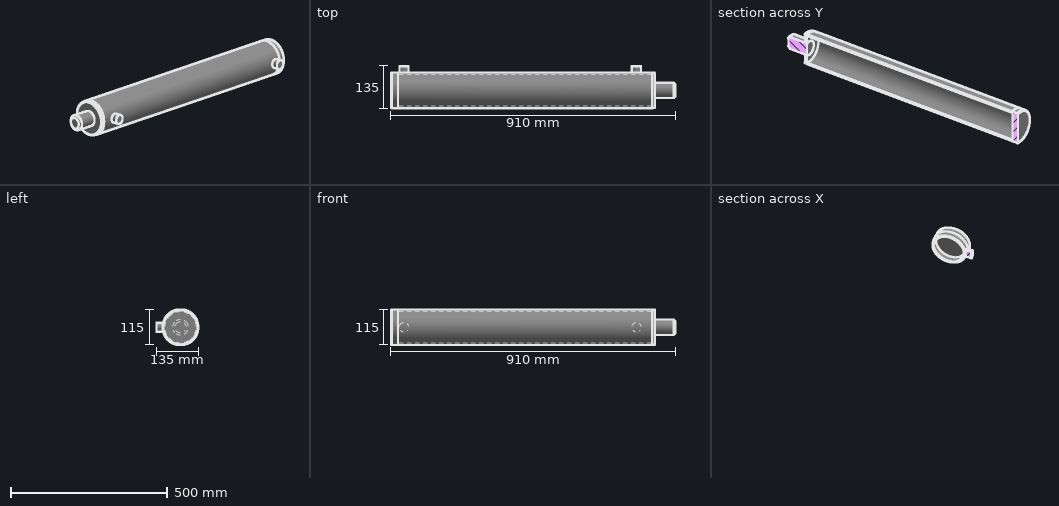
import cadquery as cq

total_length = 910.0
barrel_diameter = 115.0
wall_thickness = 7.0

cap_length = 23.0
cap_chamfer = 3.0

gland_end = 844.5
gland_length = 11.0
gland_diameter = 113.0
gland_chamfer = 3.0

rod_diameter = 50.0
rod_chamfer = 7.0

port_diameter = 30.0
port_height = 20.0
port_positions = (42.0, 784.0)

barrel_radius = barrel_diameter / 2
bore_diameter = barrel_diameter - 2 * wall_thickness
barrel_end = gland_end - gland_length


def cylinder_along_x(start, end, diameter):
    """Solid cylinder on the X axis between two stations."""
    return cq.Workplane("YZ", origin=(start, 0, 0)).circle(diameter / 2).extrude(end - start)


def make_cap():
    """Disc closing the barrel, with its outer rim chamfered."""
    cap = cylinder_along_x(0, cap_length, barrel_diameter)
    return cap.faces("<X").chamfer(cap_chamfer)


def make_barrel():
    """Plain tube between the cap and the gland."""
    tube = cylinder_along_x(cap_length, barrel_end, barrel_diameter)
    bore = cylinder_along_x(cap_length, barrel_end, bore_diameter)
    return tube.cut(bore)


def make_gland():
    """Ring on the end of the barrel, with a hole for the rod."""
    disc = cylinder_along_x(barrel_end, gland_end, gland_diameter)
    rod_hole = cylinder_along_x(barrel_end, gland_end, rod_diameter)
    return disc.faces(">X").chamfer(gland_chamfer).cut(rod_hole)


def make_rod():
    """Rod from the inner face of the gland to its chamfered free end."""
    rod = cylinder_along_x(barrel_end, total_length, rod_diameter)
    return rod.faces(">X").chamfer(rod_chamfer)


def make_port(station):
    """Round stub with a flat foot resting against the side of the barrel."""
    foot = cq.Workplane("XZ", origin=(station, barrel_radius, 0))
    return foot.circle(port_diameter / 2).extrude(-port_height)


cap = make_cap()
barrel = make_barrel()
gland = make_gland()
rod = make_rod()
ports = [make_port(station) for station in port_positions]

result = cq.Compound.makeCompound(
    [cap.val(), barrel.val(), gland.val(), rod.val(), *[port.val() for port in ports]]
)